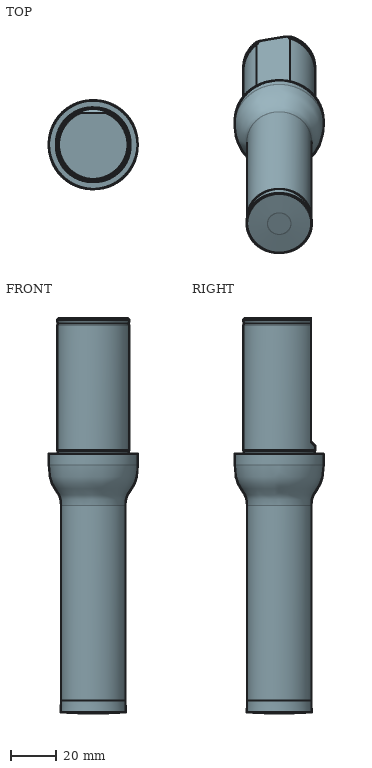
import cadquery as cq
import math


shank_length = 60.0
shank_diameter = 31.99
shank_radius = shank_diameter / 2
shank_top_chamfer = 0.8
groove_radius = 31.5 / 2
groove_top = 58.7
groove_bottom = 56.6
groove_middle = (groove_top + groove_bottom) / 2

neck_height = 1.2
neck_taper_height = 0.5
face_relief_radius = 16.6
face_relief_depth = 0.2

flat_offset = 14.1
flat_end_height = 5.3
flat_runout_angle = 45.0
flat_cut_clearance = 1.0

flange_radius = 39.5 / 2
flange_thickness = 5.0
flange_chamfer = 0.2
body_radius = 28.6 / 2
transition_bottom = -23.0
rim_handle = 12.0
body_handle = 8.0

overall_length = 175.0
tip_z = shank_length - overall_length
head_height = 5.7
head_top_z = tip_z + head_height
head_radius = 14.5
head_chamfer = 0.3
tip_cone_height = 0.4
tip_flat_radius = 5.2
head_face_z = tip_z + tip_cone_height


def revolve_profile(profile):
    """Revolve a closed (radius, z) profile about the Z axis."""
    return profile.close().revolve(360, (0, 0, 0), (0, 1, 0))


def transition_poles():
    """Return the Bezier poles from the flange rim to the body, vertical at both ends."""
    return [
        (flange_radius, -flange_thickness),
        (flange_radius, -flange_thickness - rim_handle),
        (body_radius, transition_bottom + body_handle),
        (body_radius, transition_bottom),
    ]


def make_shank_flat_cutter():
    length = 2 * shank_radius
    depth = length
    rise = depth * math.tan(math.radians(flat_runout_angle))
    return (
        cq.Workplane("YZ")
        .moveTo(flat_offset, shank_length + flat_cut_clearance)
        .lineTo(flat_offset, flat_end_height)
        .lineTo(flat_offset + depth, flat_end_height - rise)
        .lineTo(flat_offset + depth, shank_length + flat_cut_clearance)
        .close()
        .extrude(length, both=True)
    )


def make_holder():
    profile = (
        cq.Workplane("XZ")
        .moveTo(0, shank_length)
        .lineTo(shank_radius - shank_top_chamfer, shank_length)
        .lineTo(shank_radius, shank_length - shank_top_chamfer)
        .lineTo(shank_radius, groove_top)
        .lineTo(groove_radius, groove_middle)
        .lineTo(shank_radius, groove_bottom)
        .lineTo(shank_radius, neck_height + neck_taper_height)
        .lineTo(groove_radius, neck_height)
        .lineTo(groove_radius, -face_relief_depth)
        .lineTo(face_relief_radius - face_relief_depth, -face_relief_depth)
        .lineTo(face_relief_radius, 0)
        .lineTo(flange_radius - flange_chamfer, 0)
        .lineTo(flange_radius, -flange_chamfer)
        .lineTo(flange_radius, -flange_thickness)
        .bezier(transition_poles())
        .lineTo(body_radius, head_top_z)
        .lineTo(0, head_top_z)
    )
    return revolve_profile(profile).cut(make_shank_flat_cutter())


def make_cutting_head():
    profile = (
        cq.Workplane("XZ")
        .moveTo(0, head_top_z)
        .lineTo(body_radius, head_top_z)
        .lineTo(head_radius, head_face_z + head_chamfer)
        .lineTo(head_radius - head_chamfer, head_face_z)
        .lineTo(tip_flat_radius, tip_z)
        .lineTo(0, tip_z)
    )
    return revolve_profile(profile)


holder = make_holder()
cutting_head = make_cutting_head()

result = cq.Compound.makeCompound([holder.val(), cutting_head.val()])